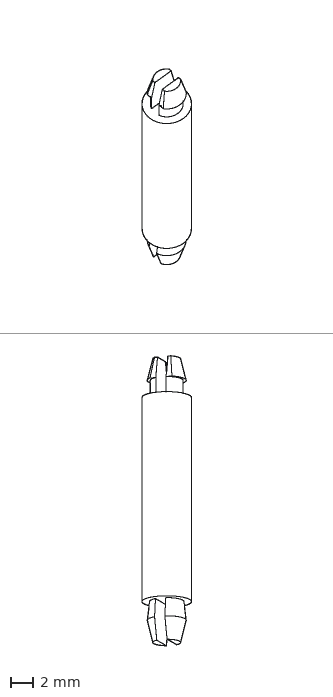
import cadquery as cq

total_length = 26.5
body_diameter = 4.5
slot_width = 1.0

neck_height = 1.6
barb_height = 2.01
neck_diameter = 3.0

lower_flare_height = 1.75
lower_tip_height = 2.07
lower_root_diameter = 3.13

barb_diameter = 3.55
tip_diameter = 2.55

flat_width_at_tip = 2.0

lower_widest_z = lower_tip_height
body_bottom_z = lower_widest_z + lower_flare_height
barb_top_z = total_length
barb_bottom_z = barb_top_z - barb_height
body_top_z = barb_bottom_z - neck_height

flat_width_at_neck = (neck_diameter**2 - slot_width**2) ** 0.5


def cylinder(diameter, bottom_z, top_z):
    """Solid cylinder about Z between two heights."""
    return cq.Workplane("XY").workplane(offset=bottom_z).circle(diameter / 2).extrude(top_z - bottom_z)


def cone(bottom_diameter, top_diameter, bottom_z, top_z):
    """Truncated cone about Z between two heights."""
    outline = [
        (0, bottom_z),
        (bottom_diameter / 2, bottom_z),
        (top_diameter / 2, top_z),
        (0, top_z),
    ]
    return cq.Workplane("XZ").polyline(outline).close().revolve(360, (0, 0, 0), (0, 1, 0))


def slot(bottom_z, top_z):
    """Slot running through a post along Y, splitting it into two prongs."""
    return (
        cq.Workplane("XY")
        .workplane(offset=bottom_z)
        .rect(slot_width, body_diameter)
        .extrude(top_z - bottom_z)
    )


def upper_barb():
    """Conical barb trimmed by two leaning flats."""
    flats_envelope = (
        cq.Workplane("YZ")
        .polyline([
            (-flat_width_at_neck / 2, barb_bottom_z),
            (flat_width_at_neck / 2, barb_bottom_z),
            (flat_width_at_tip / 2, barb_top_z),
            (-flat_width_at_tip / 2, barb_top_z),
        ])
        .close()
        .extrude(barb_diameter, both=True)
    )
    return cone(barb_diameter, tip_diameter, barb_bottom_z, barb_top_z).intersect(flats_envelope)


def upper_post():
    neck = cylinder(neck_diameter, body_top_z, barb_bottom_z)
    return neck.union(upper_barb()).cut(slot(body_top_z, barb_top_z))


def lower_post():
    tip = cone(tip_diameter, barb_diameter, 0, lower_widest_z)
    flare = cone(barb_diameter, lower_root_diameter, lower_widest_z, body_bottom_z)
    return tip.union(flare).cut(slot(0, body_bottom_z))


body = cylinder(body_diameter, body_bottom_z, body_top_z)
centered_z = -total_length / 2
result = body.union(upper_post()).union(lower_post()).translate((0, 0, centered_z))